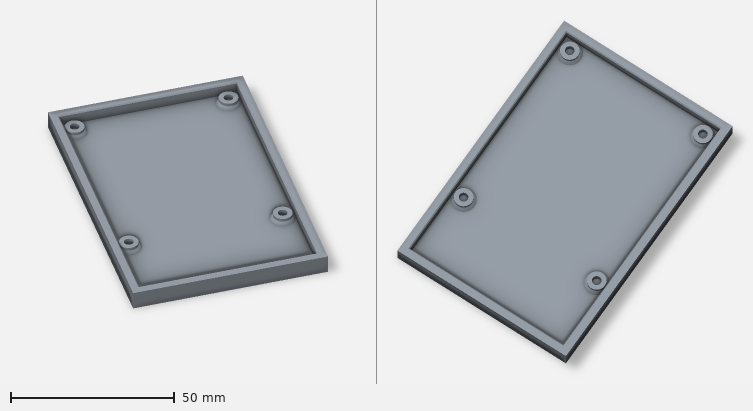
import cadquery as cq

length = 91.0
width = 62.0
height = 6.0
floor_thickness = 2.0
wall_thickness = 2.7

rim_chamfer = 0.4

boss_radius = 3.0
boss_height = 2.0
foot_flare = 1.0
hole_radius = 1.5
boss_left_x = -38.95
boss_right_x = 19.0
boss_y = 24.5
boss_centers = [(x, y) for x in (boss_left_x, boss_right_x) for y in (-boss_y, boss_y)]

cavity_length = length - 2 * wall_thickness
cavity_width = width - 2 * wall_thickness


def block(size_x, size_y, bottom, top):
    """Box centred on the Z axis between two heights."""
    return cq.Workplane("XY").workplane(offset=bottom).rect(size_x, size_y).extrude(top - bottom)


def boss(center):
    """Round post with a 45 degree conical foot flaring into the floor."""
    boss_top = floor_thickness + boss_height
    profile = (
        cq.Workplane("XZ")
        .lineTo(boss_radius + foot_flare, 0)
        .lineTo(boss_radius + foot_flare, floor_thickness)
        .lineTo(boss_radius, floor_thickness + foot_flare)
        .lineTo(boss_radius, boss_top)
        .lineTo(0, boss_top)
        .close()
    )
    post = profile.revolve(360, (0, 0, 0), (0, 1, 0))
    return post.translate((center[0], center[1], 0))


outer_block = block(length, width, 0, height)
cavity = block(cavity_length, cavity_width, floor_thickness, height)
cavity = cavity.union(
    cq.Workplane("XY")
    .workplane(offset=height)
    .rect(cavity_length + 2 * rim_chamfer, cavity_width + 2 * rim_chamfer)
    .workplane(offset=-rim_chamfer)
    .rect(cavity_length, cavity_width)
    .loft(ruled=True)
)
result = outer_block.cut(cavity)

for center in boss_centers:
    result = result.union(boss(center))

screw_holes = (
    cq.Workplane("XY")
    .workplane(offset=floor_thickness)
    .pushPoints(boss_centers)
    .circle(hole_radius)
    .extrude(boss_height)
)
result = result.cut(screw_holes)